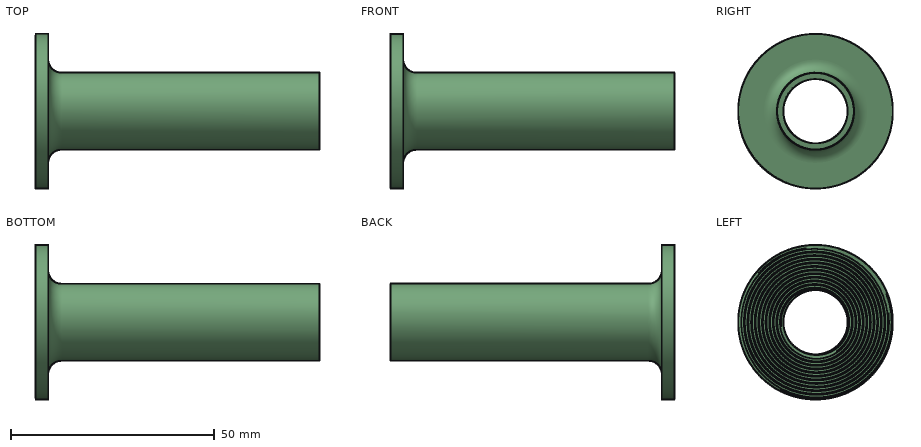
import cadquery as cq

total_length = 69.85
flange_diameter = 38.1
tube_diameter = 19.05
bore_diameter = 15.75

flange_thickness = 3.175
neck_fillet_radius = 3.175
end_chamfer = 0.127

groove_pitch = 0.889
land_width = 0.27
groove_depth = 0.08
spiral_start_radius = 6.85
spiral_turns = 15
cutter_clearance = 0.1

flange_radius = flange_diameter / 2
tube_radius = tube_diameter / 2
bore_radius = bore_diameter / 2


def make_body():
    """Flange and tube with a concave fillet between them and a through bore."""
    fillet_top = tube_radius + neck_fillet_radius
    fillet_end = flange_thickness + neck_fillet_radius
    profile = (
        cq.Workplane("XY")
        .moveTo(0, bore_radius)
        .lineTo(0, flange_radius)
        .lineTo(flange_thickness, flange_radius)
        .lineTo(flange_thickness, fillet_top)
        .radiusArc((fillet_end, tube_radius), -neck_fillet_radius)
        .lineTo(total_length - end_chamfer, tube_radius)
        .lineTo(total_length, tube_radius - end_chamfer)
        .lineTo(total_length, bore_radius)
        .close()
    )
    return profile.revolve(360, (0, 0, 0), (1, 0, 0))


def make_half_turn(index):
    """Groove cutter for one half turn: a circular-segment section turned about a shifted centre."""
    start_side = -1 if index % 2 == 0 else 1
    centre_y = -start_side * groove_pitch / 4
    arc_radius = spiral_start_radius + groove_pitch * (2 * index + 1) / 4
    section_y = centre_y + start_side * arc_radius
    half_width = (groove_pitch - land_width) / 2
    section = (
        cq.Workplane("XY")
        .moveTo(0, section_y - half_width)
        .threePointArc((groove_depth, section_y), (0, section_y + half_width))
        .lineTo(-cutter_clearance, section_y + half_width)
        .lineTo(-cutter_clearance, section_y - half_width)
        .close()
    )
    return section.revolve(180, (0, centre_y, 0), (-1, centre_y, 0))


def cut_spiral_groove(body):
    """Cut the spiral as half turns whose centres alternate about the axis, so their ends meet."""
    for index in range(2 * spiral_turns):
        body = body.cut(make_half_turn(index))
    return body


result = cut_spiral_groove(make_body())